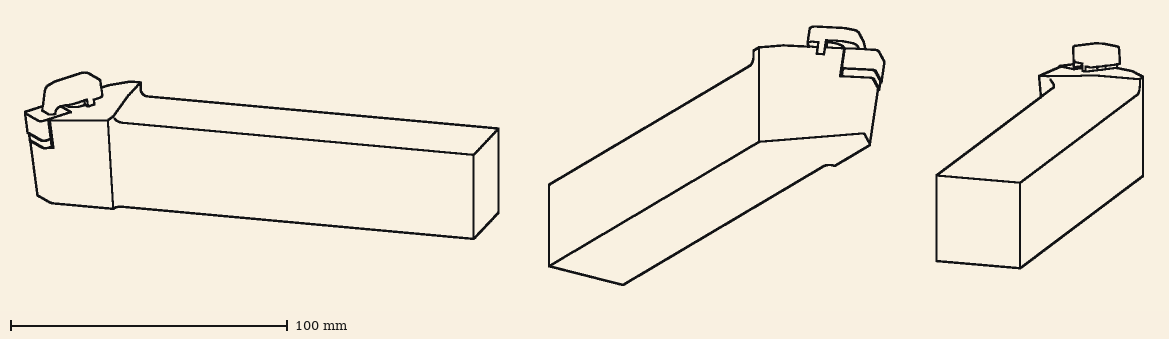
import cadquery as cq
import math

TOTAL_LENGTH = 169.3
SHANK_SIZE = 32.0
HEAD_HEIGHT = 37.1
HEAD_BACK_X = 34.5
STEP_FILLET = 2.5

LEAD_ANGLE = 45.0
TILT_ANGLE = 8.0
RELIEF_ANGLE = 5.9

SEAT_Y = -3.4
SEAT_Z = 32.2

INSERT_SIZE = 12.7
INSERT_THICKNESS = 7.8
INSERT_CORNER_RADIUS = 1.4
SHIM_INSET = 0.3
SHIM_THICKNESS = 3.0
POCKET_LIP_START = 3.2

HEAD_FRONT_INSET = 0.7
HEAD_SIDE_INSET = 0.25
HEAD_FOOT_Y = -3.2
HEAD_LEFT_RADIUS = 0.8
HEAD_RIGHT_RADIUS = 2.7
BACK_BEVEL_Y = -3.0
BACK_BEVEL_ANGLE = 15.0

CLAMP_WIDTH = 12.7
CLAMP_TOP = 8.1
CLAMP_UNDERSIDE = 2.7
CLAMP_HEEL = 1.9
POST_POSITION = 18.6
POST_RADIUS = 4.2
CLAMP_REAR = 27.1
CLAMP_TAPER_START = 13.9
CLAMP_TAPER_RADIUS = 3.4
CLAMP_CORNER_RADIUS = 2.5
CLAMP_EDGE_FILLET = 0.8
NOSE_WIDTH = 6.1
NOSE_START = 5.8
NOSE_CONTACT = 1.9
NOSE_LEAN = 21.0
NOSE_TOP_RADIUS = 2.5
FOOT_START = 19.8
FOOT_END = 22.5
FOOT_DEPTH = 2.7

lead = math.radians(LEAD_ANGLE)
tilt = math.radians(TILT_ANGLE)
axis_slope = math.cos(lead) * math.cos(tilt)
SEAT_X = (
    math.sin(lead) * (INSERT_SIZE / 2 - INSERT_CORNER_RADIUS)
    - axis_slope * INSERT_CORNER_RADIUS
    + INSERT_CORNER_RADIUS * math.hypot(axis_slope, math.sin(lead))
)
seat = cq.Plane(
    origin=(SEAT_X, SEAT_Y, SEAT_Z),
    xDir=(axis_slope, math.sin(lead) * math.cos(tilt), math.sin(tilt)),
    normal=(-math.cos(lead) * math.sin(tilt), -math.sin(lead) * math.sin(tilt), math.cos(tilt)),
)
FLOOR = -(INSERT_THICKNESS + SHIM_THICKNESS)
BIG = 101.6


def seat_block(x0, x1, y0, y1, z0, z1):
    """A box given by its limits in the tilted frame."""
    return (
        cq.Workplane(seat)
        .workplane(offset=z0)
        .center((x0 + x1) / 2, (y0 + y1) / 2)
        .rect(x1 - x0, y1 - y0)
        .extrude(z1 - z0)
    )


def rounded_tile(inset, top, thickness):
    """A square tile with rounded corners, its front edge `inset` behind the frame origin."""
    half = INSERT_SIZE / 2
    tile = seat_block(inset, INSERT_SIZE - inset, inset - half, half - inset, top - thickness, top)
    corners = tile.edges(cq.selectors.ParallelDirSelector(seat.zDir))
    return corners.fillet(INSERT_CORNER_RADIUS)


def head_section(z):
    """Plan corners of the head at height z."""
    axis = (math.cos(lead), math.sin(lead))
    left = (-math.sin(lead), math.cos(lead))
    front = HEAD_FRONT_INSET / math.cos(tilt) + (SEAT_Z - z) * math.tan(tilt)
    side = INSERT_SIZE / 2 - HEAD_SIDE_INSET
    front_x = SEAT_X + axis[0] * front
    front_y = SEAT_Y + axis[1] * front
    side_corner = (front_x + left[0] * side, front_y + left[1] * side)
    face_y = HEAD_FOOT_Y - z * math.tan(math.radians(RELIEF_ANGLE))
    nose_x = front_x + (face_y - front_y) * left[0] / left[1]
    back_x = HEAD_BACK_X - (BACK_BEVEL_Y - face_y) * math.tan(math.radians(BACK_BEVEL_ANGLE))
    flank_x = side_corner[0] + (SHANK_SIZE - side_corner[1]) * axis[0] / axis[1]
    return [
        side_corner,
        (nose_x, face_y),
        (back_x, face_y),
        (HEAD_BACK_X, BACK_BEVEL_Y),
        (HEAD_BACK_X, SHANK_SIZE),
        (flank_x, SHANK_SIZE),
    ]


def make_head():
    bottom = head_section(0)
    top = head_section(HEAD_HEIGHT)
    head = (
        cq.Workplane("XY")
        .polyline(bottom).close()
        .workplane(offset=HEAD_HEIGHT)
        .polyline(top).close()
        .loft(ruled=True, combine=True)
    )
    for corner, radius in ((0, HEAD_LEFT_RADIUS), (1, HEAD_RIGHT_RADIUS)):
        middle = [(b + t) / 2 for b, t in zip(bottom[corner], top[corner])]
        edge = cq.selectors.NearestToPointSelector((*middle, HEAD_HEIGHT / 2))
        head = head.edges(edge).fillet(radius)
    return head


def make_shank():
    length = TOTAL_LENGTH - HEAD_BACK_X
    return cq.Workplane("XY").box(length, SHANK_SIZE, SHANK_SIZE, centered=False).translate(
        (HEAD_BACK_X, 0, 0)
    )


def fillet_step(body):
    """Round the inner corners where the shank runs into the head."""
    top_edge = cq.selectors.NearestToPointSelector((HEAD_BACK_X, SHANK_SIZE / 2, SHANK_SIZE))
    side_edge = cq.selectors.NearestToPointSelector((HEAD_BACK_X, 0, SHANK_SIZE / 2))
    return body.edges(cq.selectors.SumSelector(top_edge, side_edge)).fillet(STEP_FILLET)


def cut_pocket(body):
    """Slope the head top, then open the insert pocket down to the shim's floor."""
    half = INSERT_SIZE / 2
    slope = seat_block(-BIG, BIG, -BIG, BIG, 0, BIG)
    pocket = seat_block(-INSERT_SIZE, INSERT_SIZE, -half, INSERT_SIZE, FLOOR, BIG)
    lip = seat_block(-INSERT_SIZE, POCKET_LIP_START, -INSERT_SIZE, half, FLOOR, BIG)
    return body.cut(slope).cut(pocket).cut(lip)


def clamp_side_profile():
    """Side shape of the clamp, extruded across its width."""
    contact_end = NOSE_START + NOSE_CONTACT
    lean = math.radians(NOSE_LEAN)
    turn = math.pi / 2 - lean
    bend = NOSE_TOP_RADIUS * math.tan(turn / 2)
    nose_top_x = NOSE_START + CLAMP_TOP * math.tan(lean)
    face_end = (nose_top_x - bend * math.sin(lean), CLAMP_TOP - bend * math.cos(lean))
    arc_end = (nose_top_x + bend, CLAMP_TOP)
    arc_middle = (
        arc_end[0] - NOSE_TOP_RADIUS * math.sin(turn / 2),
        CLAMP_TOP - NOSE_TOP_RADIUS * (1 - math.cos(turn / 2)),
    )
    arch = CLAMP_UNDERSIDE
    arch_middle = (
        contact_end + arch * (1 - math.cos(math.pi / 4)),
        arch * math.sin(math.pi / 4),
    )
    side_plane = cq.Plane(
        origin=seat.toWorldCoords((0, CLAMP_WIDTH / 2, 0)), xDir=seat.xDir, normal=-seat.yDir
    )
    return (
        cq.Workplane(side_plane)
        .moveTo(NOSE_START, 0)
        .lineTo(*face_end)
        .threePointArc(arc_middle, arc_end)
        .lineTo(CLAMP_REAR, CLAMP_TOP)
        .lineTo(CLAMP_REAR, CLAMP_HEEL)
        .lineTo(FOOT_END, CLAMP_HEEL)
        .lineTo(FOOT_END, -FOOT_DEPTH)
        .lineTo(FOOT_START, -FOOT_DEPTH)
        .lineTo(FOOT_START, CLAMP_UNDERSIDE)
        .lineTo(contact_end + arch, CLAMP_UNDERSIDE)
        .threePointArc(arch_middle, (contact_end, 0))
        .close()
        .extrude(CLAMP_WIDTH)
    )


def clamp_outline():
    """Plan shape of the clamp with its nose taper and rounded rear corners."""
    half = CLAMP_WIDTH / 2
    nose = NOSE_WIDTH / 2
    outline = (
        cq.Workplane(seat)
        .workplane(offset=-FOOT_DEPTH)
        .polyline([
            (NOSE_START, nose),
            (NOSE_START, -nose),
            (CLAMP_TAPER_START, -half),
            (CLAMP_REAR, -half),
            (CLAMP_REAR, half),
            (CLAMP_TAPER_START, half),
        ])
        .close()
        .extrude(FOOT_DEPTH + CLAMP_TOP)
    )
    upright = cq.selectors.ParallelDirSelector(seat.zDir)
    rear = cq.selectors.DirectionMinMaxSelector(seat.xDir, True)
    outline = outline.faces(rear).edges(upright).fillet(CLAMP_CORNER_RADIUS)
    for edge_y in (-half, half):
        shoulder = seat.toWorldCoords((CLAMP_TAPER_START, edge_y, (CLAMP_TOP - FOOT_DEPTH) / 2))
        edge = cq.selectors.NearestToPointSelector(shoulder.toTuple())
        outline = outline.edges(edge).fillet(CLAMP_TAPER_RADIUS)
    return outline


def make_clamp():
    clamp = clamp_side_profile().intersect(clamp_outline())
    top = cq.selectors.DirectionMinMaxSelector(seat.zDir, True)
    nose_bend = cq.selectors.DirectionMinMaxSelector(seat.xDir, False)
    rim = clamp.faces(top).edges().edges(cq.selectors.InverseSelector(nose_bend))
    post = (
        cq.Workplane(seat)
        .center(POST_POSITION, 0)
        .circle(POST_RADIUS)
        .extrude(CLAMP_UNDERSIDE)
    )
    return rim.fillet(CLAMP_EDGE_FILLET).union(post)


def make_holder():
    holder = fillet_step(make_head().union(make_shank()))
    shim = rounded_tile(SHIM_INSET, -INSERT_THICKNESS, SHIM_THICKNESS)
    return cut_pocket(holder).union(shim).union(make_clamp())


def make_insert():
    return rounded_tile(0, 0, INSERT_THICKNESS)


holder = make_holder()
insert = make_insert()
result = cq.Compound.makeCompound([holder.solids().val(), insert.solids().val()])